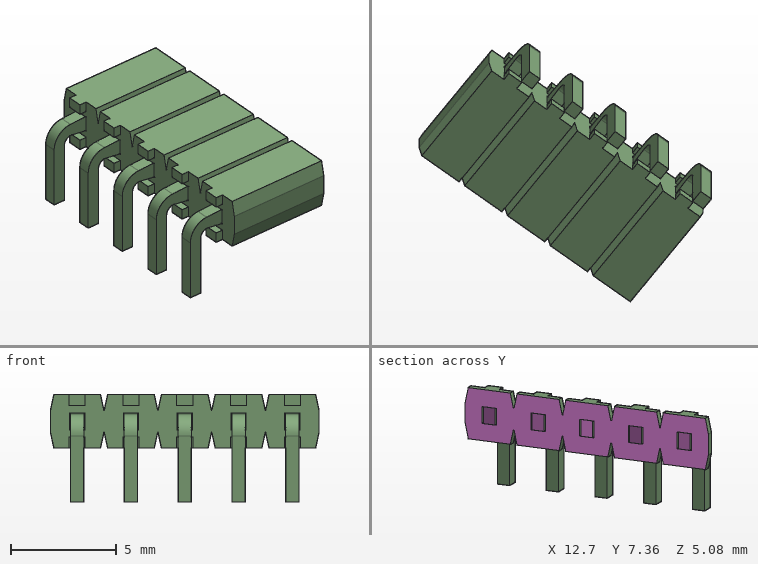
import cadquery as cq
import math

PIN_COUNT = 5
PITCH = 2.54
PIN_XS = [(i - (PIN_COUNT - 1) / 2) * PITCH for i in range(PIN_COUNT)]

HOUSING_HEIGHT = 2.54
HOUSING_DEPTH = 5.46
SIDE_FLAT_HEIGHT = 1.02
SIDE_INSET = 0.17

TAB_WIDTH = 0.76
TAB_HEIGHT = 0.53
TAB_LENGTH = 0.38

PIN_SIZE = 0.64
PIN_REACH = 1.9
LEG_BOTTOM_Z = -3.81
BEND_INNER_RADIUS = 0.41
BEND_CENTRE_Z = -0.69
ROOT_HEIGHT = 0.8
BEND_OUTER_RADIUS = BEND_INNER_RADIUS + PIN_SIZE
BEND_CENTRE_Y = BEND_OUTER_RADIUS - PIN_REACH

SOCKET_WIDTH = 0.72
SOCKET_DEPTH = PIN_SIZE


def housing_cell(x):
    """One eight-sided cell of the housing, centred on x."""
    half_width = PITCH / 2
    half_top = half_width - SIDE_INSET
    half_height = HOUSING_HEIGHT / 2
    half_flat = SIDE_FLAT_HEIGHT / 2
    outline = [
        (x - half_top, half_height),
        (x + half_top, half_height),
        (x + half_width, half_flat),
        (x + half_width, -half_flat),
        (x + half_top, -half_height),
        (x - half_top, -half_height),
        (x - half_width, -half_flat),
        (x - half_width, half_flat),
    ]
    return cq.Workplane("XZ").polyline(outline).close().extrude(-HOUSING_DEPTH)


def standoff_tabs(x):
    """The upper and lower tab around the pin at x, flush with the housing's top and bottom."""
    tab_z = (HOUSING_HEIGHT - TAB_HEIGHT) / 2
    return (
        cq.Workplane("XZ")
        .pushPoints([(x, tab_z), (x, -tab_z)])
        .rect(TAB_WIDTH, TAB_HEIGHT)
        .extrude(TAB_LENGTH)
    )


def socket(x):
    """The blind rectangular recess that takes the root of the pin at x."""
    return (
        cq.Workplane("XZ")
        .center(x, 0)
        .rect(SOCKET_WIDTH, ROOT_HEIGHT)
        .extrude(-SOCKET_DEPTH)
    )


def make_housing():
    """All cells and tabs joined into one body, with a socket for each pin."""
    housing = housing_cell(PIN_XS[0]).union(standoff_tabs(PIN_XS[0]))
    for x in PIN_XS[1:]:
        housing = housing.union(housing_cell(x)).union(standoff_tabs(x))
    for x in PIN_XS:
        housing = housing.cut(socket(x))
    return housing


def bend_point(radius, angle):
    """(Y, Z) on a bend arc; the angle is measured from straight up toward -Y."""
    return (
        BEND_CENTRE_Y - radius * math.sin(angle),
        BEND_CENTRE_Z + radius * math.cos(angle),
    )


def tangent_angle(root_z, radius):
    """Bend angle where a line from (0, root_z) touches the arc."""
    run = -BEND_CENTRE_Y
    drop = root_z - BEND_CENTRE_Z
    return math.acos(radius / math.hypot(run, drop)) - math.atan2(run, drop)


def make_pin(x):
    """One right-angle pin: a straight root, a taper, a round bend and a square leg."""
    root_z = ROOT_HEIGHT / 2
    outer_start = tangent_angle(root_z, BEND_OUTER_RADIUS)
    inner_start = tangent_angle(-root_z, BEND_INNER_RADIUS)
    quarter = math.pi / 2
    profile = (
        cq.Workplane("YZ")
        .moveTo(SOCKET_DEPTH, root_z)
        .lineTo(0, root_z)
        .lineTo(*bend_point(BEND_OUTER_RADIUS, outer_start))
        .threePointArc(
            bend_point(BEND_OUTER_RADIUS, (outer_start + quarter) / 2),
            bend_point(BEND_OUTER_RADIUS, quarter),
        )
        .lineTo(-PIN_REACH, LEG_BOTTOM_Z)
        .lineTo(-PIN_REACH + PIN_SIZE, LEG_BOTTOM_Z)
        .lineTo(*bend_point(BEND_INNER_RADIUS, quarter))
        .threePointArc(
            bend_point(BEND_INNER_RADIUS, (inner_start + quarter) / 2),
            bend_point(BEND_INNER_RADIUS, inner_start),
        )
        .lineTo(0, -root_z)
        .lineTo(SOCKET_DEPTH, -root_z)
        .close()
        .extrude(PIN_SIZE / 2, both=True)
    )
    return profile.translate((x, 0, 0))


housing = make_housing()
pins = [make_pin(x) for x in PIN_XS]

result = cq.Compound.makeCompound([housing.val(), *[pin.val() for pin in pins]])